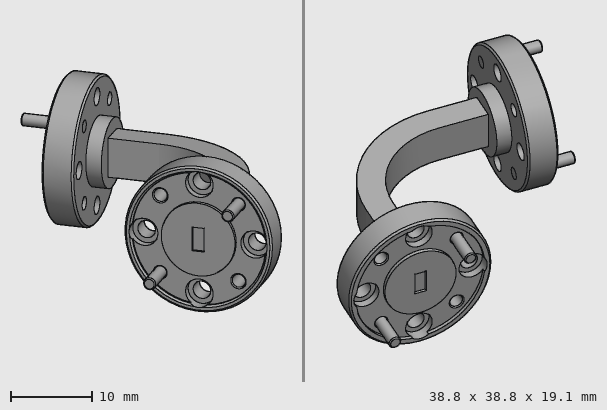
import cadquery as cq
import math

face_distance = 25.4
bend_radius = 12.7

tube_width = 3.58
tube_height = 5.13
window_width = 1.55
window_height = 3.1
window_depth = 0.35

flange_diameter = 19.05
flange_thickness = 4.1
edge_chamfer = 0.25
collar_diameter = 8.9
collar_length = 2.0
pad_diameter = 9.53
recess_diameter = 17.27
recess_depth = 0.5
recess_flare = 0.25

bolt_circle_radius = 14.29 / 2
screw_hole_diameter = 2.26
counterbore_diameter = 3.56
counterbore_depth = 1.52
alignment_hole_diameter = 1.7
alignment_hole_chamfer = 0.15
screw_angles = [0, 90, 180, 270]
alignment_angles = [135, 315]
pin_angles = [45, 225]

pin_diameter = 1.57
pin_projection = 3.875
pin_chamfer = 0.15
pin_hole_chamfer = 0.1

front_face = cq.Plane(origin=(0, -face_distance, 0), xDir=(1, 0, 0), normal=(0, -1, 0))
side_face = cq.Plane(origin=(-face_distance, 0, 0), xDir=(0, -1, 0), normal=(-1, 0, 0))


def on_bolt_circle(angles):
    """Points on the bolt circle at the given angles in degrees."""
    return [
        (
            bolt_circle_radius * math.cos(math.radians(angle)),
            bolt_circle_radius * math.sin(math.radians(angle)),
        )
        for angle in angles
    ]


def cylinder(plane, points, diameter, start, length):
    """Cylinders along the plane normal, from height start, growing by length."""
    return (
        cq.Workplane(plane)
        .workplane(offset=start)
        .pushPoints(points)
        .circle(diameter / 2)
        .extrude(length)
    )


def countersinks(plane, points, hole_diameter, size):
    """45 degree cones that break the hole edges at the recess floor."""
    return (
        cq.Workplane(plane)
        .workplane(offset=-recess_depth)
        .pushPoints(points)
        .circle(hole_diameter / 2 + size)
        .extrude(-size, taper=45)
    )


def make_recess(plane, flare):
    """Ring to sink into the mating face between the contact pad and the rim; zero flare is a plain wall."""
    pad_radius = pad_diameter / 2
    floor_radius = recess_diameter / 2
    profile = [
        (pad_radius, 0),
        (pad_radius, -recess_depth),
        (floor_radius, -recess_depth),
        (floor_radius, -flare),
    ]
    if flare > 0:
        profile.append((floor_radius + flare, 0))
    ring = cq.Workplane("XY").polyline(profile).close().revolve(360, (0, 0), (0, 1))
    upright = ring.rotate((0, 0, 0), (1, 0, 0), 90)
    return cq.Workplane(upright.val().moved(cq.Location(plane)))


def make_flange(plane, flare):
    """Round flange with its collar, recess, screw, alignment and dowel holes."""
    centre = [(0, 0)]
    flange = cylinder(plane, centre, flange_diameter, 0, -flange_thickness)
    flange = flange.edges().chamfer(edge_chamfer)
    flange = flange.union(cylinder(plane, centre, collar_diameter, -flange_thickness, -collar_length))
    flange = flange.cut(make_recess(plane, flare))

    screw_points = on_bolt_circle(screw_angles)
    flange = flange.cut(cylinder(plane, screw_points, screw_hole_diameter, 0, -flange_thickness))
    flange = flange.cut(cylinder(plane, screw_points, counterbore_diameter, 0, -counterbore_depth))

    alignment_points = on_bolt_circle(alignment_angles)
    flange = flange.cut(cylinder(plane, alignment_points, alignment_hole_diameter, 0, -flange_thickness))
    flange = flange.cut(
        countersinks(plane, alignment_points, alignment_hole_diameter, alignment_hole_chamfer)
    )

    pin_points = on_bolt_circle(pin_angles)
    flange = flange.cut(cylinder(plane, pin_points, pin_diameter, 0, -flange_thickness))
    flange = flange.cut(countersinks(plane, pin_points, pin_diameter, pin_hole_chamfer))
    return flange


def make_tube():
    """Rectangular tube: straight, quarter bend, straight, between the two collars."""
    straight_start = face_distance - flange_thickness - collar_length
    bend_middle = bend_radius * (1 - math.cos(math.radians(45)))
    path = (
        cq.Workplane("XY")
        .moveTo(-straight_start, 0)
        .lineTo(-bend_radius, 0)
        .threePointArc((-bend_middle, -bend_middle), (0, -bend_radius))
        .lineTo(0, -straight_start)
    )
    section = cq.Workplane("YZ", origin=(-straight_start, 0, 0)).rect(tube_width, tube_height)
    return section.sweep(path)


def make_waveguide():
    """Bent tube and both flanges as one body."""
    body = make_tube()
    body = body.union(make_flange(front_face, recess_flare))
    body = body.union(make_flange(side_face, flare=0))
    for plane in (front_face, side_face):
        window = cq.Workplane(plane).rect(window_width, window_height).extrude(-window_depth)
        body = body.cut(window)
    return body


def make_pin(plane, point):
    """Dowel pin through the flange, chamfered at its free end."""
    pin = cylinder(plane, [point], pin_diameter, -flange_thickness, flange_thickness + pin_projection)
    return pin.faces(cq.selectors.DirectionMinMaxSelector(plane.zDir)).chamfer(pin_chamfer)


waveguide = make_waveguide()
pins = [
    make_pin(plane, point)
    for plane in (front_face, side_face)
    for point in on_bolt_circle(pin_angles)
]

result = cq.Compound.makeCompound([waveguide.val(), *[pin.val() for pin in pins]])